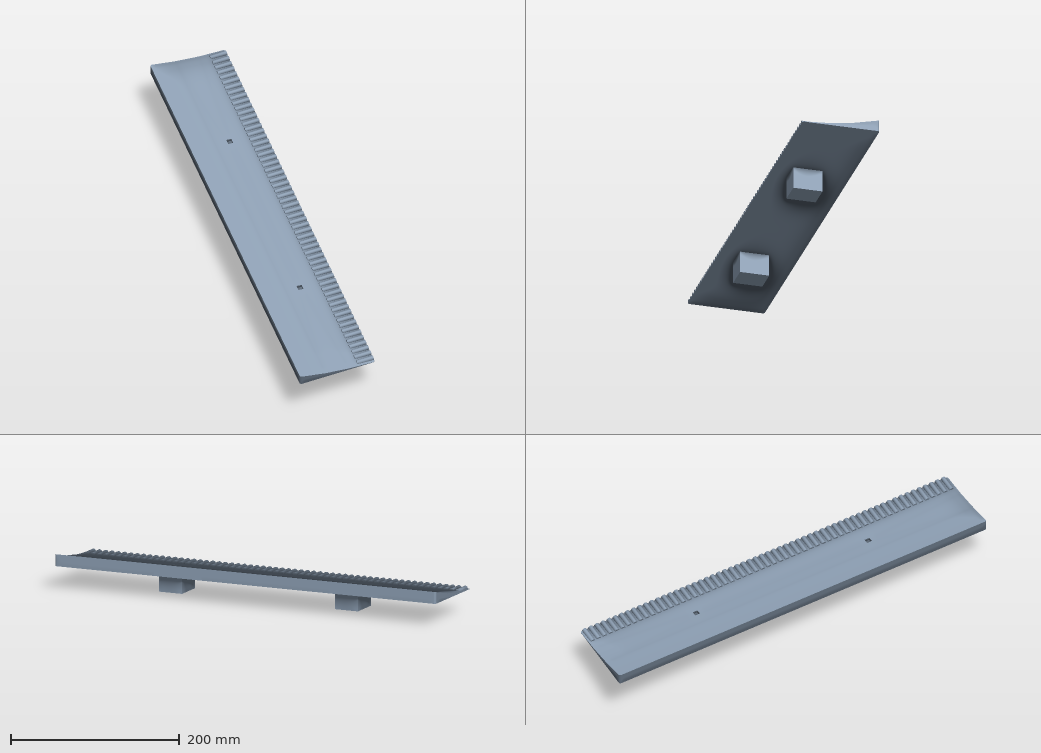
import cadquery as cq
import math

LENGTH = 500.0
DEPTH = 95.0
FRONT_HEIGHT = 14.5
CORNER_RADIUS = 2.5
DISH_RADIUS = 365.0
DISH_CENTRE_Y = 53.0

RIB_COUNT = 60
RIB_RADIUS = 3.0
RIB_LENGTH = 21.0
FIRST_RIB_INSET = 5.5
LAST_RIB_INSET = 6.0

POST_OFFSET_X = 115.5
POST_CENTRE_Y = 7.0
POST_WIDTH = 30.0
POST_DEPTH = 36.0
POST_HEIGHT = 27.0
HOLE_OFFSET_X = 117.0
HOLE_CENTRE_Y = 3.0
HOLE_SIDE = 6.5

LEFT_X = -LENGTH / 2
FRONT_Y = -DEPTH / 2
BACK_Y = DEPTH / 2
RIB_PITCH = (LENGTH - FIRST_RIB_INSET - LAST_RIB_INSET) / (RIB_COUNT - 1)


def dish_drop(y):
    """Distance from the level of the dish axis down to the dish surface at y."""
    return math.sqrt(DISH_RADIUS**2 - (DISH_CENTRE_Y - y) ** 2)


def dish_point(y):
    """Point (y, z) on the dish, which meets the front face at FRONT_HEIGHT."""
    return (y, FRONT_HEIGHT + dish_drop(FRONT_Y) - dish_drop(y))


def make_plate():
    """Side profile in the YZ plane, extruded along the full length."""
    return (
        cq.Workplane("YZ", origin=(LEFT_X, 0, 0))
        .moveTo(FRONT_Y, 0)
        .lineTo(*dish_point(FRONT_Y))
        .threePointArc(dish_point(0), dish_point(BACK_Y))
        .lineTo(BACK_Y, 0)
        .close()
        .extrude(LENGTH)
        .edges("|Z")
        .fillet(CORNER_RADIUS)
    )


def make_rib(axis_x):
    """Half cylinder along Y, its axis level with the thin back edge of the plate."""
    _, axis_z = dish_point(BACK_Y)
    return (
        cq.Workplane("XZ", origin=(axis_x, BACK_Y, axis_z))
        .moveTo(-RIB_RADIUS, 0)
        .threePointArc((0, RIB_RADIUS), (RIB_RADIUS, 0))
        .close()
        .extrude(RIB_LENGTH)
    )


def make_post(side):
    """Block below the plate; side is -1 for the left one and 1 for the right one."""
    return (
        cq.Workplane("XY")
        .center(side * POST_OFFSET_X, POST_CENTRE_Y)
        .rect(POST_WIDTH, POST_DEPTH)
        .extrude(-POST_HEIGHT)
    )


def make_hole(side):
    """Square cutter through the plate, stopping on top of the post."""
    return (
        cq.Workplane("XY")
        .center(side * HOLE_OFFSET_X, HOLE_CENTRE_Y)
        .rect(HOLE_SIDE, HOLE_SIDE)
        .extrude(FRONT_HEIGHT)
    )


result = make_plate()
for index in range(RIB_COUNT):
    result = result.union(make_rib(LEFT_X + FIRST_RIB_INSET + index * RIB_PITCH))
for side in (-1, 1):
    result = result.cut(make_hole(side)).union(make_post(side))